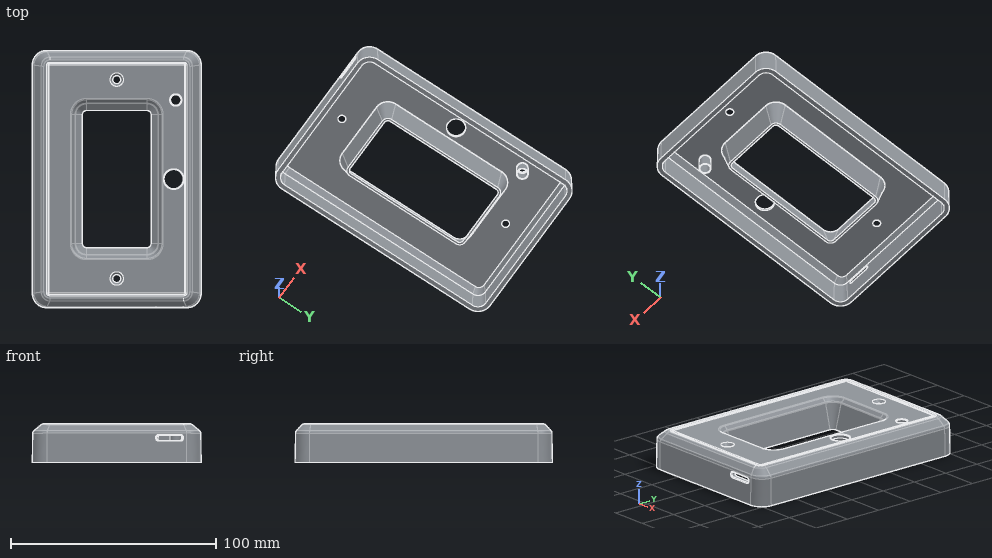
import cadquery as cq
import math

WIDTH = 82.5
LENGTH = 125.5
HEIGHT = 19.0
FACE_THICKNESS = 2.0
SIDE_WALL = 2.5
CEILING_Z = HEIGHT - FACE_THICKNESS

CORNER_RADIUS = 7.2
SIDE_DRAFT = 0.3
SHOULDER_Z = 15.0
RIM_WIDTH = 72.5
RIM_LENGTH = 117.7
RIM_CORNER_RADIUS = 3.9
SHOULDER_SLOPE = 45
SHOULDER_FILLET = 1.9
RIM_FILLET = 2.0

GROOVE_WIDTH = 68.4
GROOVE_LENGTH = 113.7
GROOVE_CORNER_RADIUS = 1.5
GROOVE_SPAN = 1.3
GROOVE_DEPTH = 0.6

WINDOW_WIDTH = 33.4
WINDOW_LENGTH = 66.8
WINDOW_CORNER_RADIUS = 2.0
WINDOW_BOTTOM_Z = 3.6
WINDOW_LEAN = 3.4
COLLAR_WALL = 1.3
MOUTH_FLARE = 2.1
MOUTH_FILLET = 0.9
THROAT_FILLET = 1.0

SCREW_Y = 48.5
SCREW_RADIUS = 1.9
SCREW_HEAD_RADIUS = 3.3
SCREW_SINK_DEPTH = 1.6

BUTTON_X = 27.7
BUTTON_Y = 0
BUTTON_RADIUS = 4.6
LAMP_X = 28.7
LAMP_Y = 38.5
LAMP_RADIUS = 2.6
HOLE_CHAMFER = 0.4

TUBE_RADIUS = 2.9
TUBE_BORE_RADIUS = 2.5
TUBE_BOTTOM_Z = 9.4

SLOT_X = 25.7
SLOT_Z = 12.0
SLOT_LENGTH = 12.8
SLOT_HEIGHT = 2.4
SLOT_CHAMFER = 0.44

CLEARANCE = 0.01


def rounded_rectangle(width, length, radius, z):
    """Closed wire of a centred rectangle with round corners at height z."""
    block = cq.Workplane("XY", origin=(0, 0, z)).rect(width, length).extrude(1.3)
    return block.edges("|Z").fillet(radius).faces("<Z").wires().val()


def frustum(bottom, top):
    """Solid between two rounded rectangles, each given as (width, length, radius, z)."""
    wires = [rounded_rectangle(*bottom), rounded_rectangle(*top)]
    return cq.Workplane(cq.Solid.makeLoft(wires, True))


def inset(section, distance, z):
    """The section shrunk by a distance on every side (grown if negative), moved to height z."""
    width, length, radius, _ = section
    return (width - 2 * distance, length - 2 * distance, radius - distance, z)


def box_selector(x_range, y_range, z_range):
    """Selector for edges that lie wholly inside a box."""
    low, high = zip(x_range, y_range, z_range)
    low = tuple(value - CLEARANCE for value in low)
    high = tuple(value + CLEARANCE for value in high)
    return cq.selectors.BoxSelector(low, high, boundingbox=True)


def section_edges(section):
    """Selector for the edges inside a level section."""
    width, length, _, z = section
    return box_selector((-width / 2, width / 2), (-length / 2, length / 2), (z, z))


BASE = (WIDTH, LENGTH, CORNER_RADIUS, 0)
SHOULDER = inset(BASE, SIDE_DRAFT, SHOULDER_Z)
RIM = (RIM_WIDTH, RIM_LENGTH, RIM_CORNER_RADIUS, HEIGHT)

WINDOW_BOTTOM = (WINDOW_WIDTH, WINDOW_LENGTH, WINDOW_CORNER_RADIUS, WINDOW_BOTTOM_Z)
WINDOW_THROAT = inset(WINDOW_BOTTOM, -WINDOW_LEAN, HEIGHT - MOUTH_FLARE)
WINDOW_MOUTH = inset(WINDOW_THROAT, -MOUTH_FLARE, HEIGHT)


def stacked_frustums(bottom, middle, top):
    return frustum(bottom, middle).union(frustum(middle, top))


def outer_body():
    body = stacked_frustums(BASE, SHOULDER, RIM)
    body = body.edges(section_edges(SHOULDER)).fillet(SHOULDER_FILLET)
    return body.edges(section_edges(RIM)).fillet(RIM_FILLET)


def cavity():
    """Hollow under the face, with shoulders roughly parallel to the outer ones."""
    bend = FACE_THICKNESS * math.tan(math.radians(SHOULDER_SLOPE / 2))
    return stacked_frustums(
        inset(BASE, SIDE_WALL, 0),
        inset(SHOULDER, SIDE_WALL, SHOULDER_Z - bend),
        inset(RIM, bend, CEILING_Z),
    )


def window_collar():
    """Block around the window that the window cut turns into a thin wall."""
    return stacked_frustums(
        inset(WINDOW_BOTTOM, -COLLAR_WALL, WINDOW_BOTTOM_Z),
        inset(WINDOW_THROAT, -COLLAR_WALL, HEIGHT - MOUTH_FLARE),
        inset(WINDOW_MOUTH, -COLLAR_WALL, HEIGHT),
    )


def cut_window(body):
    body = body.cut(stacked_frustums(WINDOW_BOTTOM, WINDOW_THROAT, WINDOW_MOUTH))
    body = body.edges(section_edges(WINDOW_THROAT)).fillet(THROAT_FILLET)
    return body.edges(section_edges(WINDOW_MOUTH)).fillet(MOUTH_FILLET)


def groove():
    outer_edge = (GROOVE_WIDTH, GROOVE_LENGTH, GROOVE_CORNER_RADIUS, HEIGHT)
    bottom = inset(outer_edge, GROOVE_SPAN / 2, HEIGHT - GROOVE_DEPTH)
    inner_edge = inset(outer_edge, GROOVE_SPAN, HEIGHT)
    return frustum(bottom, outer_edge).cut(frustum(bottom, inner_edge))


def tapered_hole(x, y, radius, mouth_radius, taper_depth):
    """Round cutter through the face plate with a conical mouth at the top."""
    depth = FACE_THICKNESS + CLEARANCE
    profile = (
        cq.Workplane("XZ")
        .lineTo(mouth_radius, 0)
        .lineTo(radius, -taper_depth)
        .lineTo(radius, -depth)
        .lineTo(0, -depth)
        .close()
    )
    return profile.revolve(360, (0, 0), (0, 1)).translate((x, y, HEIGHT))


def guide_tube():
    tube = cq.Workplane("XY", origin=(LAMP_X, LAMP_Y, TUBE_BOTTOM_Z))
    return tube.circle(TUBE_RADIUS).circle(TUBE_BORE_RADIUS).extrude(CEILING_Z - TUBE_BOTTOM_Z)


def cut_slot(body):
    cutter = cq.Workplane("XZ", origin=(SLOT_X, -LENGTH / 2, SLOT_Z))
    body = body.cut(cutter.slot2D(SLOT_LENGTH, SLOT_HEIGHT).extrude(-2 * SIDE_WALL))
    slot_mouth = box_selector(
        (SLOT_X - SLOT_LENGTH / 2, SLOT_X + SLOT_LENGTH / 2),
        (-LENGTH / 2, -LENGTH / 2 + SIDE_WALL / 2),
        (SLOT_Z - SLOT_HEIGHT / 2, SLOT_Z + SLOT_HEIGHT / 2),
    )
    return body.edges(slot_mouth).chamfer(SLOT_CHAMFER)


part = outer_body().cut(cavity().cut(window_collar()))
part = cut_window(part)
part = part.cut(groove())
for screw_y in (-SCREW_Y, SCREW_Y):
    part = part.cut(tapered_hole(0, screw_y, SCREW_RADIUS, SCREW_HEAD_RADIUS, SCREW_SINK_DEPTH))
for x, y, radius in ((BUTTON_X, BUTTON_Y, BUTTON_RADIUS), (LAMP_X, LAMP_Y, LAMP_RADIUS)):
    part = part.cut(tapered_hole(x, y, radius, radius + HOLE_CHAMFER, HOLE_CHAMFER))
part = part.union(guide_tube())
result = cut_slot(part)